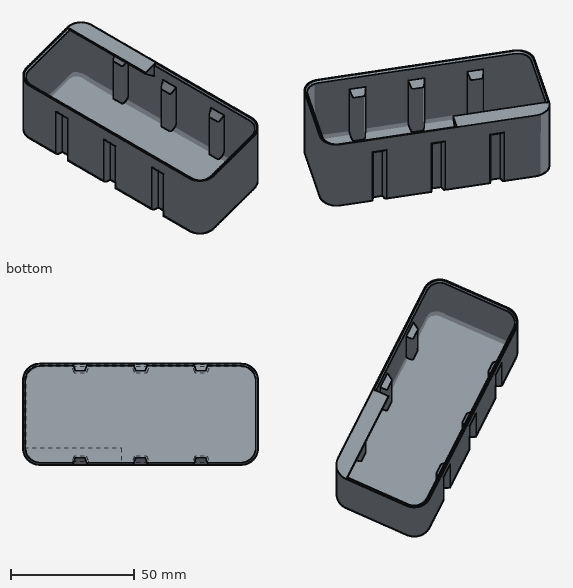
import cadquery as cq
import math

length = 95.5
width = 41.2
height = 33.7
corner_radius = 7.0
foot_chamfer = 1.0

wall = 1.2
floor_thickness = 1.0
floor_fillet = 4.0
rim_land = 0.4
rim_chamfer = wall - rim_land
rim_overcut = 1.0

groove_count = 3
groove_pitch = 24.5
groove_depth = 3.0
groove_mouth_width = 6.0
groove_bottom_width = 3.8
groove_top_z = 27.1
rib_skin = 0.8

shelf_length = 40.0
shelf_depth = 7.0
shelf_lip = 0.8
shelf_underside_drop = 6.8

groove_positions = [(i - (groove_count - 1) / 2) * groove_pitch for i in range(groove_count)]
flank_lean = (groove_mouth_width - groove_bottom_width) / 2 / groove_depth
front_y = -width / 2
back_y = width / 2


def rounded_block(inset, bottom_z, top_z):
    """Block with rounded vertical edges, set in evenly from the outer walls."""
    return (
        cq.Workplane("XY")
        .workplane(offset=bottom_z)
        .rect(length - 2 * inset, width - 2 * inset)
        .extrude(top_z - bottom_z)
        .edges("|Z")
        .fillet(corner_radius - inset)
    )


def make_body():
    """Solid outer block with a chamfered foot."""
    return rounded_block(0, 0, height).faces("<Z").chamfer(foot_chamfer)


def make_cavity():
    """Inside of the box: rounded at the floor and flared at the rim."""
    cavity = rounded_block(wall, floor_thickness, height).faces("<Z").edges().fillet(floor_fillet)
    flare = rounded_block(rim_land, height - rim_chamfer, height + rim_overcut)
    flare = flare.faces("<Z").chamfer(rim_chamfer)
    return cavity.union(flare)


def sloped_bar(x, outline, top_z, depth):
    """Upright bar in the front wall, with a top that falls 45 degrees toward its tip."""
    bar = outline.close().extrude(top_z)
    slope = (
        cq.Workplane("YZ")
        .moveTo(front_y, 0)
        .lineTo(front_y, top_z)
        .lineTo(front_y + depth, top_z - depth)
        .lineTo(front_y + depth, 0)
        .close()
        .extrude(groove_mouth_width, both=True)
    )
    return bar.intersect(slope).translate((x, 0, 0))


def make_groove(x):
    """Cutter for one groove in the front wall, open at the foot."""
    mouth = groove_mouth_width / 2
    bottom = groove_bottom_width / 2
    outline = (
        cq.Workplane("XY")
        .moveTo(-mouth, front_y)
        .lineTo(-bottom, front_y + groove_depth)
        .lineTo(bottom, front_y + groove_depth)
        .lineTo(mouth, front_y)
    )
    return sloped_bar(x, outline, groove_top_z, groove_depth)


def make_rib(x):
    """Groove shape grown by the skin thickness, with rounded edges along its tip."""
    flank_angle = math.atan(flank_lean)
    foot = groove_mouth_width / 2 + rib_skin / math.cos(flank_angle)
    tip = groove_bottom_width / 2
    bottom_y = front_y + groove_depth
    tip_y = bottom_y + rib_skin
    shoulder = tip + rib_skin * math.cos(flank_angle)
    shoulder_y = bottom_y + rib_skin * math.sin(flank_angle)
    mid_angle = (flank_angle + math.pi / 2) / 2
    mid = tip + rib_skin * math.cos(mid_angle)
    mid_y = bottom_y + rib_skin * math.sin(mid_angle)
    outline = (
        cq.Workplane("XY")
        .moveTo(-foot, front_y)
        .lineTo(-shoulder, shoulder_y)
        .threePointArc((-mid, mid_y), (-tip, tip_y))
        .lineTo(tip, tip_y)
        .threePointArc((mid, mid_y), (shoulder, shoulder_y))
        .lineTo(foot, front_y)
    )
    rib_top_z = groove_top_z + rib_skin * math.sqrt(2)
    return sloped_bar(x, outline, rib_top_z, groove_depth + rib_skin)


def make_shelf():
    """Flat shelf with a short upright lip and an underside sloping back to the wall."""
    front_of_shelf = back_y - shelf_depth
    inner_wall_y = back_y - wall
    underside_z = height - shelf_lip
    shelf = (
        cq.Workplane("YZ")
        .workplane(offset=-length / 2)
        .moveTo(back_y, height)
        .lineTo(front_of_shelf, height)
        .lineTo(front_of_shelf, underside_z)
        .lineTo(inner_wall_y, underside_z - shelf_underside_drop)
        .lineTo(back_y, underside_z - shelf_underside_drop)
        .close()
        .extrude(shelf_length)
    )
    return shelf.intersect(rounded_block(0, 0, height))


def mirrored_pair(solid):
    """A front wall feature together with its twin on the back wall."""
    return solid.union(solid.mirror("XZ"))


body = make_body()
result = body.cut(make_cavity()).union(make_shelf())
for groove_x in groove_positions:
    rib = make_rib(groove_x).intersect(body)
    result = result.union(mirrored_pair(rib))
    result = result.cut(mirrored_pair(make_groove(groove_x)))